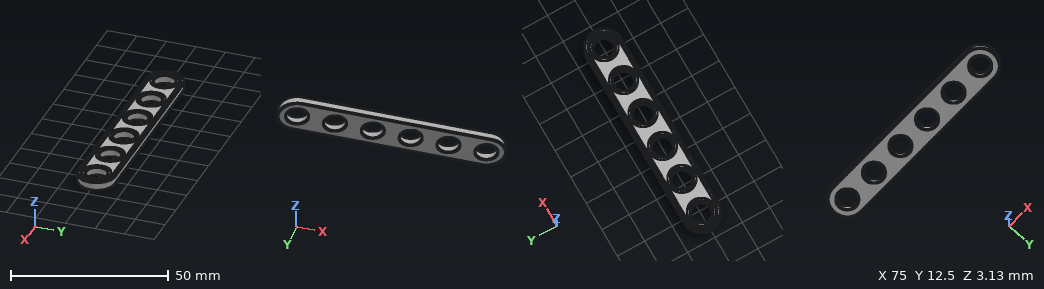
import cadquery as cq

hole_count = 6
pitch = 12.5
width = 12.5
thickness = 3.125
length = hole_count * pitch

bore_diameter = 7.0
collar_diameter = 9.2

rim_width = 1.1
recess_depth = 0.2

outer_chamfer = 0.3
bore_chamfer = 0.3

hole_centers = [((i - (hole_count - 1) / 2) * pitch, 0) for i in range(hole_count)]


def make_bar():
    """Round-ended bar with its top and bottom outer edges broken."""
    bar = cq.Workplane("XY").slot2D(length, width).extrude(thickness)
    return bar.faces("<Z or >Z").edges().chamfer(outer_chamfer)


def make_recess():
    """Shallow pocket inside the rim, leaving a round collar at every hole."""
    floor = cq.Workplane("XY").workplane(offset=thickness - recess_depth)
    pocket = floor.slot2D(length - 2 * rim_width, width - 2 * rim_width).extrude(recess_depth)
    collars = floor.pushPoints(hole_centers).circle(collar_diameter / 2).extrude(recess_depth)
    return pocket.cut(collars)


def make_bore():
    """Cutter for one through hole, flared at both ends by the edge chamfer."""
    radius = bore_diameter / 2
    mouth_radius = radius + bore_chamfer
    profile = [
        (0, 0),
        (mouth_radius, 0),
        (radius, bore_chamfer),
        (radius, thickness - bore_chamfer),
        (mouth_radius, thickness),
        (0, thickness),
    ]
    return cq.Workplane("XZ").polyline(profile).close().revolve(360, (0, 0), (0, 1))


result = make_bar().cut(make_recess())
bore = make_bore()
for x, y in hole_centers:
    result = result.cut(bore.translate((x, y, 0)))